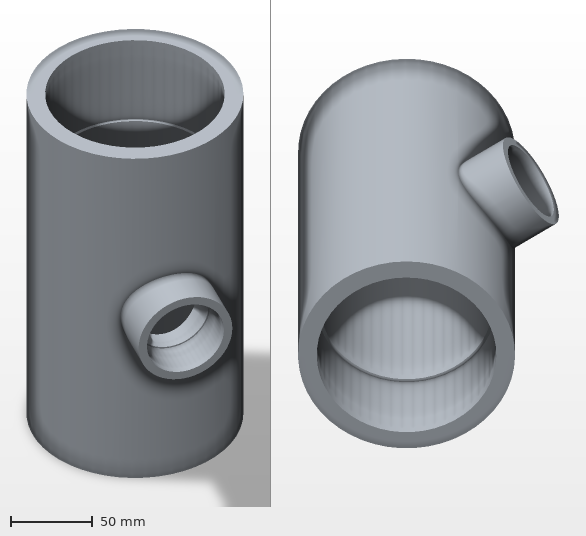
import cadquery as cq

body_length = 244.0
body_diameter = 133.0
bore_diameter = 106.0
socket_diameter = 110.0
socket_depth = 60.3

overall_width = 158.5
branch_diameter = 61.0
branch_bore_diameter = 48.0
branch_socket_diameter = 50.0
branch_end = overall_width - body_diameter / 2
branch_socket_depth = branch_end - body_diameter / 2


def upright_cylinder(diameter, bottom, height):
    """Cylinder on the Z axis, rising from the given level."""
    return cq.Workplane("XY").workplane(offset=bottom).circle(diameter / 2).extrude(height)


def branch_cylinder(diameter, start, length):
    """Cylinder on the X axis, running outward from the given position."""
    return cq.Workplane("YZ").workplane(offset=start).circle(diameter / 2).extrude(length)


body = upright_cylinder(body_diameter, -body_length / 2, body_length)
branch = branch_cylinder(branch_diameter, 0, branch_end)
result = body.union(branch)

result = result.cut(upright_cylinder(bore_diameter, -body_length / 2, body_length))
for socket_bottom in (-body_length / 2, body_length / 2 - socket_depth):
    result = result.cut(upright_cylinder(socket_diameter, socket_bottom, socket_depth))

result = result.cut(branch_cylinder(branch_bore_diameter, 0, branch_end))
branch_socket_start = branch_end - branch_socket_depth
result = result.cut(branch_cylinder(branch_socket_diameter, branch_socket_start, branch_socket_depth))